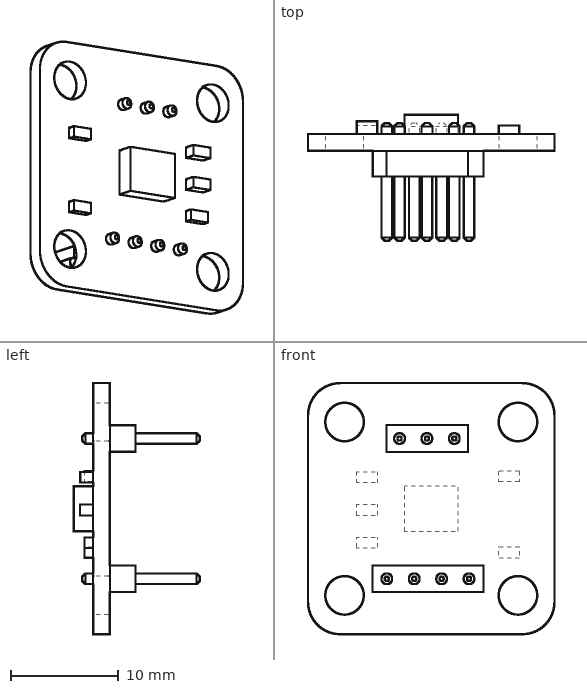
import cadquery as cq

board_width = 22.86
board_height = 23.3
board_thickness = 1.57
corner_radius = 3.0
mount_hole_diameter = 3.55
mount_hole_spacing = 16.07

pin_pitch = 2.54
pin_diameter = 1.0
pin_chamfer = 0.3
pin_front_reach = 8.33
pin_back_reach = 1.01
header_depth = 2.38
header_height = 2.48
header_row_z = 6.5
upper_header_width = 7.55
upper_header_x = -0.37
upper_pin_count = 3
upper_pins_x = -0.4
lower_header_width = 10.3
lower_header_x = -0.29
lower_pin_count = 4
lower_pins_x = -0.31

chip_width = 5.0
chip_height = 4.2
chip_depth = 1.8
small_width = 1.92
small_height = 1.0
tall_depth = 1.2
low_depth = 0.8
left_column_x = -5.96
right_column_x = 7.2
tall_parts_z = (2.91, -0.13)
left_low_part_z = -3.15
right_low_parts_z = (3.0, -4.05)


def block(width, depth, height, x, z, start_y):
    """Box centred on (x, z) that extends from start_y toward +Y."""
    return cq.Workplane("XY").box(width, depth, height, centered=(True, False, True)).translate((x, start_y, z))


def make_board():
    board = block(board_width, board_thickness, board_height, 0, 0, 0)
    board = board.edges("|Y").fillet(corner_radius)
    return (
        board.faces("<Y")
        .workplane(origin=(0, 0, 0))
        .rect(mount_hole_spacing, mount_hole_spacing, forConstruction=True)
        .vertices()
        .hole(mount_hole_diameter)
    )


def make_pin(x, z):
    """Round pin along Y through the board, chamfered at both ends."""
    back_end = board_thickness + pin_back_reach
    pin_length = back_end + pin_front_reach
    return (
        cq.Workplane("XZ", origin=(x, back_end, z))
        .circle(pin_diameter / 2)
        .extrude(pin_length)
        .faces("|Y")
        .chamfer(pin_chamfer)
    )


def add_header(body, width, header_x, pin_count, pins_x, z):
    """Header housing on the front face with an evenly spaced row of pins."""
    body = body.union(block(width, header_depth, header_height, header_x, z, -header_depth))
    first_pin_x = pins_x - pin_pitch * (pin_count - 1) / 2
    for index in range(pin_count):
        body = body.union(make_pin(first_pin_x + index * pin_pitch, z))
    return body


def add_back_components(body):
    """Central chip and the two columns of small components beside it."""
    body = body.union(block(chip_width, chip_depth, chip_height, 0, 0, board_thickness))
    small_parts = [(left_column_x, z, tall_depth) for z in tall_parts_z]
    small_parts.append((left_column_x, left_low_part_z, low_depth))
    small_parts += [(right_column_x, z, low_depth) for z in right_low_parts_z]
    for x, z, depth in small_parts:
        body = body.union(block(small_width, depth, small_height, x, z, board_thickness))
    return body


part = make_board()
part = add_header(part, upper_header_width, upper_header_x, upper_pin_count, upper_pins_x, header_row_z)
part = add_header(part, lower_header_width, lower_header_x, lower_pin_count, lower_pins_x, -header_row_z)
result = add_back_components(part)